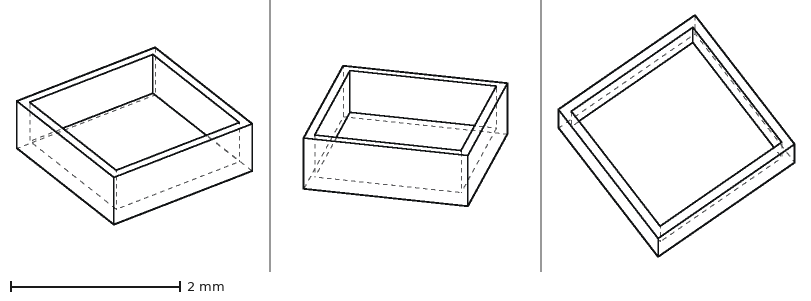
import cadquery as cq

side = 2.0
height = 0.67
wall = 0.11
floor = 0.12

cavity_side = side - 2 * wall
cavity_depth = height - floor


def make_body():
    """Square block centred on the Z axis, standing on the XY plane."""
    return cq.Workplane("XY").box(side, side, height, centered=(True, True, False))


def cut_cavity(body):
    """Square pocket opening through the top face, leaving the walls and floor."""
    return body.faces(">Z").workplane().rect(cavity_side, cavity_side).cutBlind(-cavity_depth)


result = cut_cavity(make_body())